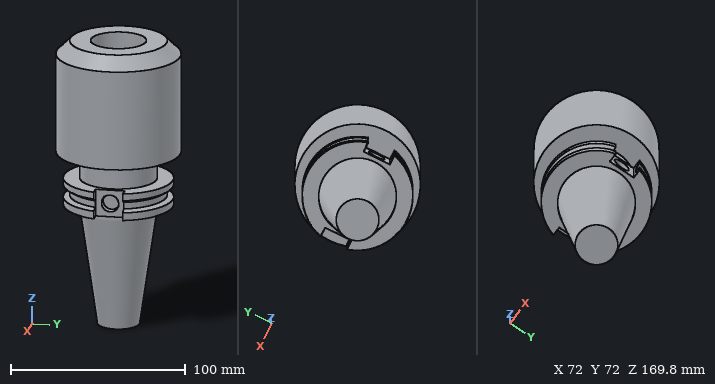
import cadquery as cq

total_height = 169.8
taper_top = 68.5
flange_bottom = 71.5
flange_top = 87.5
head_bottom = 103.3

head_radius = 36.0
head_top_radius = 28.0
head_chamfer_height = 7.8
bore_radius = 16.0
bore_depth = total_height - head_bottom

neck_radius = 22.3
taper_end_radius = 12.2

flange_radius = 31.8
groove_radius = 28.0
groove_bottom = 76.1
groove_floor_bottom = 77.3
groove_floor_top = 81.2
groove_top = 83.4

slot_width = 16.8
slot_floor_x = 24.8
slot_hole_diameter = 10.0
slot_hole_depth = 5.0


def make_body():
    """Revolve the half profile of taper, flange, neck and head about Z."""
    profile = [
        (0, 0),
        (taper_end_radius, 0),
        (neck_radius, taper_top),
        (neck_radius, flange_bottom),
        (flange_radius, flange_bottom),
        (flange_radius, groove_bottom),
        (groove_radius, groove_floor_bottom),
        (groove_radius, groove_floor_top),
        (flange_radius, groove_top),
        (flange_radius, flange_top),
        (neck_radius, flange_top),
        (neck_radius, head_bottom),
        (head_radius, head_bottom),
        (head_radius, total_height - head_chamfer_height),
        (head_top_radius, total_height),
        (0, total_height),
    ]
    return cq.Workplane("XZ").polyline(profile).close().revolve(360, (0, 0), (0, 1))


def make_bore():
    """Blind tool bore, sunk from the top of the head."""
    bore_floor = cq.Workplane("XY", origin=(0, 0, total_height - bore_depth))
    return bore_floor.circle(bore_radius).extrude(bore_depth)


def make_drive_slot():
    """Drive slot on the +X side, with a blind round hole in its floor."""
    flange_thickness = flange_top - flange_bottom
    middle_height = (flange_top + flange_bottom) / 2
    slot = cq.Workplane("XY").box(
        flange_radius, slot_width, flange_thickness, centered=(False, True, True)
    ).translate((slot_floor_x, 0, middle_height))
    hole = (
        cq.Workplane("YZ", origin=(slot_floor_x - slot_hole_depth, 0, middle_height))
        .circle(slot_hole_diameter / 2)
        .extrude(slot_hole_depth)
    )
    return slot.union(hole)


result = make_body().cut(make_bore())
for side_angle in (0, 180):
    result = result.cut(make_drive_slot().rotate((0, 0, 0), (0, 0, 1), side_angle))